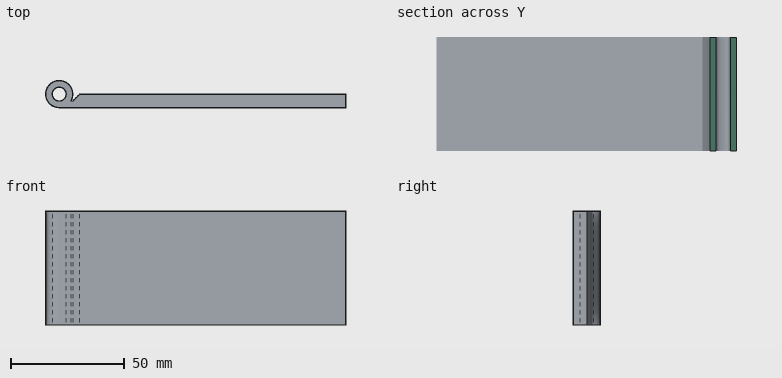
import cadquery as cq
import math

height = 50.0
leaf_length = 126.0
leaf_thickness = 6.0

knuckle_radius = 6.0
pin_hole_diameter = 6.0

groove_depth = 3.0
groove_floor_end = 6.0

outer_face_y = -knuckle_radius
inner_face_y = outer_face_y + leaf_thickness
groove_floor_y = inner_face_y - groove_depth
groove_mouth_end = groove_floor_end + groove_depth
groove_floor_start = math.sqrt(knuckle_radius**2 - groove_floor_y**2)


def make_body():
    """Extrude the leaf and knuckle as one closed profile."""
    return (
        cq.Workplane("XY")
        .moveTo(0, outer_face_y)
        .lineTo(leaf_length, outer_face_y)
        .lineTo(leaf_length, inner_face_y)
        .lineTo(groove_mouth_end, inner_face_y)
        .lineTo(groove_floor_end, groove_floor_y)
        .lineTo(groove_floor_start, groove_floor_y)
        .threePointArc((0, knuckle_radius), (-knuckle_radius, 0))
        .radiusArc((0, outer_face_y), -knuckle_radius)
        .close()
        .extrude(height)
    )


def make_pin_hole():
    """Cylinder along the knuckle axis, through the full height."""
    return cq.Workplane("XY").circle(pin_hole_diameter / 2).extrude(height)


result = make_body().cut(make_pin_hole())